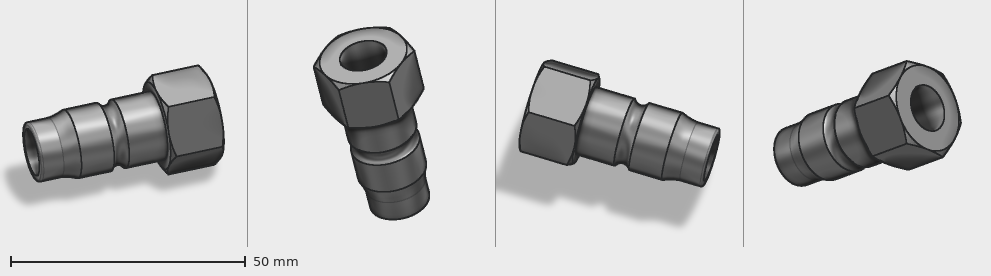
import cadquery as cq
import math

total_length = 40.0
tip_y = -total_length / 2
back_y = total_length / 2

hex_across_flats = 19.0
hex_length = 12.0
hex_chamfer_angle = 30.0

barrel_radius = 15.0 / 2
tip_radius = 13.0 / 2
tip_length = 5.0
tip_rounding = 0.5
taper_length = 3.7
taper_arc_radius = 12.0

groove_center_from_tip = 17.7
groove_width = 3.35

bore_diameter = 10.2

hex_front_y = back_y - hex_length
taper_front_y = tip_y + tip_length
taper_back_y = taper_front_y + taper_length
groove_y = tip_y + groove_center_from_tip
groove_front_y = groove_y - groove_width / 2
groove_back_y = groove_y + groove_width / 2


def revolve_about_y(profile):
    return profile.close().revolve(360, (0, 0, 0), (0, 1, 0))


def make_hex_head():
    flat_radius = hex_across_flats / 2
    corner_radius = flat_radius / math.cos(math.radians(30))
    chamfer_drop = (corner_radius - flat_radius) * math.tan(math.radians(hex_chamfer_angle))
    prism = (
        cq.Workplane("XZ", origin=(0, back_y, 0))
        .polygon(6, 2 * corner_radius)
        .extrude(hex_length)
    )
    envelope = revolve_about_y(
        cq.Workplane("XY")
        .moveTo(0, hex_front_y)
        .lineTo(flat_radius, hex_front_y)
        .lineTo(corner_radius, hex_front_y + chamfer_drop)
        .lineTo(corner_radius, back_y - chamfer_drop)
        .lineTo(flat_radius, back_y)
        .lineTo(0, back_y)
    )
    return prism.intersect(envelope)


def make_barrel():
    barrel = revolve_about_y(
        cq.Workplane("XY")
        .moveTo(0, tip_y)
        .lineTo(tip_radius, tip_y)
        .lineTo(tip_radius, taper_front_y)
        .radiusArc((barrel_radius, taper_back_y), taper_arc_radius)
        .lineTo(barrel_radius, groove_front_y)
        .threePointArc((tip_radius, groove_y), (barrel_radius, groove_back_y))
        .lineTo(barrel_radius, back_y)
        .lineTo(0, back_y)
    )
    return barrel.faces("<Y").edges().fillet(tip_rounding)


def make_bore():
    return (
        cq.Workplane("XZ", origin=(0, back_y, 0))
        .circle(bore_diameter / 2)
        .extrude(total_length)
    )


result = make_hex_head().union(make_barrel()).cut(make_bore())